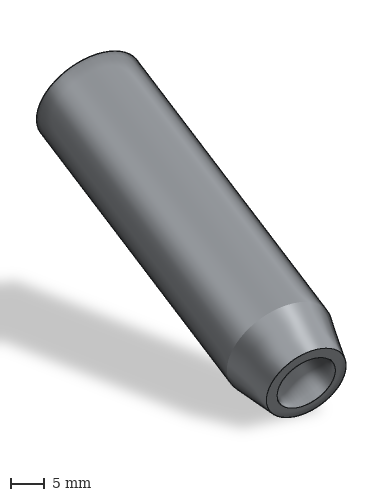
import cadquery as cq
import math

sleeve_length = 65.0
outer_diameter = 18.0
bore_diameter = 10.0
taper_length = 8.0
taper_angle = 15.0
tilt_angle = 25.0

outer_radius = outer_diameter / 2
bore_radius = bore_diameter / 2
nose_radius = outer_radius - taper_length * math.tan(math.radians(taper_angle))
shoulder_position = sleeve_length - taper_length


def make_sleeve():
    """Bored sleeve along +X from the origin, with a conical nose at its far end."""
    half_section = (
        cq.Workplane("XZ")
        .moveTo(0, bore_radius)
        .lineTo(0, outer_radius)
        .lineTo(shoulder_position, outer_radius)
        .lineTo(sleeve_length, nose_radius)
        .lineTo(sleeve_length, bore_radius)
        .close()
    )
    return half_section.revolve(360, (0, 0, 0), (1, 0, 0))


result = make_sleeve().rotate((0, 0, 0), (0, 1, 0), tilt_angle)